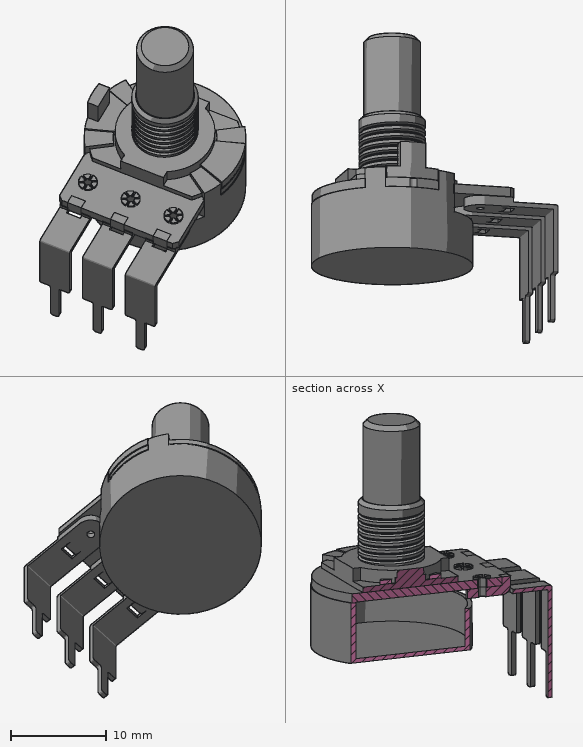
import cadquery as cq
import math


case_radius = 8.5
sheet = 0.5
case_inner_radius = case_radius - sheet
case_height = 6.6
untrimmed_radius = case_radius + sheet
notch_floor = 4.6
tab_start_angle = 20.0
tab_end_angle = 35.0
tab_inner_radius = 5.45

board_radius = 8.4
board_thickness = 1.0
board_bottom = case_height
board_top = board_bottom + board_thickness
board_half_width = case_radius * math.cos(math.radians(tab_end_angle))
tail_start = case_radius * math.sin(math.radians(tab_end_angle))
board_front = -11.5
board_corner = 0.5
edge_notch_diameter = 0.8

plate_half_depth = 5.5
plate_half_length = 5.85
layer_thickness = 0.6
plate_top = board_top + layer_thickness
wing_top = plate_top + layer_thickness
wing_gap_angle = 0.7
lug_width = 2.75
lug_inner_x = -7.15
lug_top = 11.45
flange_radius = 5.25
flange_key_width = 5.0
flange_top = 9.6
bushing_radius = 3.5
bushing_top = 16.05
bushing_chamfer = 0.4
thread_top = 15.1
thread_pitch = 0.75
thread_depth = 0.25
thread_mouth = 0.42
thread_root = 0.1
thread_overshoot = 0.1

shaft_radius = 3.0
shaft_top = 24.6
end_chamfer = 0.5

terminal_spacing = 5.0
terminal_width = 3.5
rivet_y = -8.25
pad_thickness = 1.0
pad_front = -11.4
pad_bottom = board_bottom - pad_thickness
strip_top = pad_bottom + sheet
leg_front = -16.25
bend_outer_radius = 0.3
bend_inner_radius = 0.1
blade_bottom = -1.2
blade_corner = 0.25
pin_width = 1.0
pin_bottom = -6.15
pin_tip_radius = 0.35
hook_width = 1.6
hook_depth = 1.0
hook_back = board_front + hook_depth
hook_slot_front = -11.75
barrel_diameter = 1.0
barrel_hole_diameter = 1.02
barrel_bore = 0.8
petal_diameter = 2.0
petal_height = 0.2
petal_slot = 0.2
petal_slot_angles = (30, 90, 150)


def disc(radius, bottom, top):
    return cq.Workplane("XY").workplane(offset=bottom).circle(radius).extrude(top - bottom)


def block(x_range, y_range, z_range):
    """Axis-aligned box from its limits along X, Y and Z."""
    (x0, x1), (y0, y1), (z0, z1) = x_range, y_range, z_range
    return cq.Workplane("XY").box(x1 - x0, y1 - y0, z1 - z0, centered=False).translate((x0, y0, z0))


def polar(radius, degrees):
    angle = math.radians(degrees)
    return (radius * math.cos(angle), radius * math.sin(angle))


def sector(inner, outer, start, end, bottom, top):
    """Ring segment between two radii and two angles in degrees."""
    middle = (start + end) / 2
    return (
        cq.Workplane("XY").workplane(offset=bottom)
        .moveTo(*polar(inner, start))
        .lineTo(*polar(outer, start))
        .threePointArc(polar(outer, middle), polar(outer, end))
        .lineTo(*polar(inner, end))
        .threePointArc(polar(inner, middle), polar(inner, start))
        .close()
        .extrude(top - bottom)
    )


def tab_sectors(inner, outer, bottom, top):
    """Four copies of a ring segment, one at each crimp tab."""
    first = sector(inner, outer, tab_start_angle, tab_end_angle, bottom, top)
    beside = first.mirror("YZ")
    return [first, beside, first.mirror("XZ"), beside.mirror("XZ")]


def make_case():
    tab_top = plate_top + sheet
    case = disc(case_radius, 0, tab_top).cut(disc(case_inner_radius, sheet, plate_top))
    removed_rim = disc(untrimmed_radius, case_height, tab_top)
    for tab in tab_sectors(tab_inner_radius, 2 * case_radius, case_height, tab_top):
        removed_rim = removed_rim.cut(tab)
    case = case.cut(removed_rim)
    reach = (-case_radius, case_radius)
    return case.cut(block(reach, (-case_radius, -tail_start), (notch_floor, case_height)))


def make_board():
    heights = (board_bottom, board_top)
    board = disc(board_radius, *heights)
    tail = block((-board_half_width, board_half_width), (board_front, -tail_start), heights)
    board = board.union(tail.edges("|Z and <Y").chamfer(board_corner))
    for upright in tab_sectors(case_inner_radius, untrimmed_radius, *heights):
        board = board.cut(upright)
    board = board.cut(disc(edge_notch_diameter / 2, *heights).translate((-case_radius, 0, 0)))
    for x in terminal_places:
        board = board.cut(disc(barrel_hole_diameter / 2, *heights).translate((x, rivet_y, 0)))
        board = board.cut(hook_block(board_bottom, board_top).translate((x, 0, 0)))
    return board


def make_thread_groove():
    """Helical V groove along the bushing, started inside the flange."""
    start = plate_top
    groove_path = cq.Wire.makeHelix(thread_pitch, thread_top - start, bushing_radius)
    slope = (thread_mouth - thread_root) / 2 / thread_depth
    outer_half = thread_mouth / 2 + slope * thread_overshoot
    root_x = bushing_radius - thread_depth
    outer_x = bushing_radius + thread_overshoot
    profile = (
        cq.Workplane("XZ")
        .moveTo(root_x, -thread_root / 2)
        .lineTo(outer_x, -outer_half)
        .lineTo(outer_x, outer_half)
        .lineTo(root_x, thread_root / 2)
        .close()
    )
    return profile.sweep(cq.Workplane(groove_path), isFrenet=True).translate((0, 0, start))


def make_frame():
    plate = block(
        (-case_radius, case_radius), (-plate_half_depth, plate_half_depth), (board_top, plate_top)
    )
    plate = plate.edges("|Z").chamfer(case_radius - plate_half_length)
    plate = plate.intersect(disc(case_inner_radius, board_top, plate_top))
    wing_angle = tab_start_angle - wing_gap_angle
    wing = sector(shaft_radius, untrimmed_radius, -wing_angle, wing_angle, board_top, wing_top)
    frame = plate.union(wing).union(wing.mirror("YZ"))
    lug = block(
        (-untrimmed_radius, lug_inner_x),
        (-lug_width / 2, lug_width / 2),
        (plate_top, lug_top),
    )
    frame = frame.union(lug).intersect(disc(case_radius, board_top, lug_top))
    flange = disc(flange_radius, plate_top, flange_top)
    key = block(
        (-flange_key_width / 2, flange_key_width / 2),
        (-plate_half_depth, plate_half_depth),
        (plate_top, flange_top),
    )
    bushing = disc(bushing_radius, plate_top, bushing_top)
    bushing = bushing.faces(">Z").chamfer(bushing_chamfer).cut(make_thread_groove())
    frame = frame.union(flange.union(key)).union(bushing)
    return frame.cut(disc(shaft_radius, board_top, bushing_top))


def make_shaft():
    return disc(shaft_radius, board_top, shaft_top).faces(">Z").chamfer(end_chamfer)


def hook_block(bottom, top):
    return block((-hook_width / 2, hook_width / 2), (board_front, hook_back), (bottom, top))


def make_hook():
    """Tongue that curves up from the pad and ends flush with the board."""
    return (
        cq.Workplane("YZ").workplane(offset=-hook_width / 2)
        .moveTo(hook_back, board_top)
        .lineTo(board_front, board_top)
        .lineTo(board_front, board_bottom)
        .radiusArc((hook_back, pad_bottom), -pad_thickness)
        .close()
        .extrude(hook_width)
    )


def make_rivet():
    """Barrel through the board, spread into six petals on top."""
    petals = disc(petal_diameter / 2, board_top, board_top + petal_height)
    for angle in petal_slot_angles:
        slot = block(
            (-petal_diameter, petal_diameter),
            (-petal_slot / 2, petal_slot / 2),
            (board_top, board_top + petal_height),
        )
        petals = petals.cut(slot.rotate((0, 0, 0), (0, 0, 1), angle))
    barrel = disc(barrel_diameter / 2, board_bottom, board_top)
    return barrel.union(petals).translate((0, rivet_y, 0))


def make_leg():
    """Blade and narrow solder pin hanging from the bend."""
    leg_back = leg_front + sheet
    half = terminal_width / 2
    blade = block((-half, half), (leg_front, leg_back), (blade_bottom, strip_top))
    blade = blade.edges("|Y and <Z").fillet(blade_corner)
    pin = block((-pin_width / 2, pin_width / 2), (leg_front, leg_back), (pin_bottom, blade_bottom))
    pin = pin.edges("|Y and <Z").fillet(pin_tip_radius)
    leg = blade.union(pin)
    corner_height = 2 * blade_corner
    near_pin = cq.selectors.BoxSelector(
        (-pin_width, leg_front - sheet, blade_bottom - corner_height),
        (pin_width, leg_back + sheet, blade_bottom + blade_corner / 2),
    )
    return leg.edges("|Y").edges(near_pin).fillet(blade_corner)


def make_terminal(x):
    half = terminal_width / 2
    pad = block((-half, half), (pad_front, rivet_y), (pad_bottom, board_bottom))
    pad = pad.union(disc(half, pad_bottom, board_bottom).translate((0, rivet_y, 0)))
    strip = block((-half, half), (leg_front, pad_front), (pad_bottom, strip_top))
    bent = strip.union(make_leg())
    bent = bent.edges("|X and >Z and <Y").fillet(bend_outer_radius)
    inner_corner = cq.selectors.NearestToPointSelector((0, leg_front + sheet, pad_bottom))
    bent = bent.edges("|X").edges(inner_corner).fillet(bend_inner_radius)
    slot = block(
        (-hook_width / 2, hook_width / 2), (hook_slot_front, hook_back), (pad_bottom, board_bottom)
    )
    terminal = pad.union(bent).cut(slot).union(make_hook()).union(make_rivet())
    bore = disc(barrel_bore / 2, pad_bottom, board_top + petal_height).translate((0, rivet_y, 0))
    return terminal.cut(bore).translate((x, 0, 0))


terminal_places = (-terminal_spacing, 0, terminal_spacing)

case = make_case()
board = make_board()
frame = make_frame()
shaft = make_shaft()
terminals = [make_terminal(x) for x in terminal_places]

result = cq.Compound.makeCompound(
    [case.val(), board.val(), frame.val(), shaft.val(), *[terminal.val() for terminal in terminals]]
)